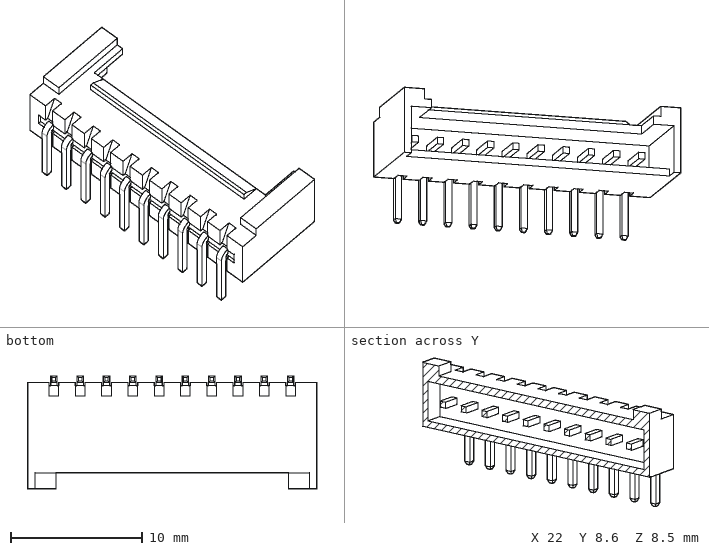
import cadquery as cq
import math

width = 22.0
depth = 8.1
height = 4.31

side_wall = 0.55
floor_thickness = 0.55
roof_thickness = 0.65
back_wall = 1.55
roof_notch_width = 17.67
roof_notch_depth = 3.2
floor_setback = 1.2
roof_edge = depth - roof_notch_depth

rail_width = 1.6
rail_height = 0.8
rail_start = 1.52

ramp_width = 15.85
ramp_height = 0.55
ramp_run = 1.12
ramp_flat = 0.29

pin_count = 10
pitch = 2.0
pin_size = 0.5
pin_axis_height = 2.1
pin_bottom = -3.39
pin_end = 4.4
tip_length = 0.26
tip_size = 0.26

recess_width = 20.2
recess_height = 1.0
recess_depth = 0.25
groove_width = 0.73
groove_depth = 1.01
recess_bottom = pin_axis_height - recess_height / 2
recess_top = pin_axis_height + recess_height / 2

pin_positions = [(i - (pin_count - 1) / 2) * pitch for i in range(pin_count)]


def box(size_x, y_range, z_range, x=0.0):
    """Box centred on x, spanning the given Y and Z ranges."""
    y_start, y_stop = y_range
    z_start, z_stop = z_range
    return (
        cq.Workplane("XY", origin=(x, (y_start + y_stop) / 2, z_start))
        .box(size_x, y_stop - y_start, z_stop - z_start, centered=(True, True, False))
    )


def side_profile(points, size_x, x=0.0):
    """Closed (Y, Z) outline extruded along X and centred on x."""
    return cq.Workplane("YZ", origin=(x, 0, 0)).polyline(points).close().extrude(size_x / 2, both=True)


def make_shell():
    """Housing block hollowed from +Y, with the roof and floor cut back."""
    cavity_width = width - 2 * side_wall
    roof_bottom = height - roof_thickness
    shell = box(width, (0, depth), (0, height))
    shell = shell.cut(box(cavity_width, (back_wall, depth), (floor_thickness, roof_bottom)))
    shell = shell.cut(box(roof_notch_width, (roof_edge, depth), (roof_bottom, height)))
    return shell.cut(box(cavity_width, (depth - floor_setback, depth), (0, floor_thickness)))


def make_rail(side):
    """Raised rail on the -X (side = -1) or +X (side = 1) edge."""
    x = side * (width - rail_width) / 2
    return box(rail_width, (rail_start, depth), (height, height + rail_height), x)


def make_ramp():
    """Locking ramp rising from the roof edge to a short flat crest."""
    crest = height + ramp_height
    crest_start = roof_edge - ramp_run
    crest_end = crest_start - ramp_flat
    outline = [(roof_edge, height), (crest_start, crest), (crest_end, crest), (crest_end, height)]
    return side_profile(outline, ramp_width)


def make_groove(x):
    """Vertical groove that deepens from the recess towards the top and bottom."""
    outline = [
        (0, 0),
        (groove_depth, 0),
        (recess_depth, recess_bottom),
        (recess_depth, recess_top),
        (groove_depth, height),
        (0, height),
    ]
    return side_profile(outline, groove_width, x)


def make_pin(x):
    """Square pin bent down at the pin face and ending in a tapered tip."""
    top = pin_axis_height + pin_size / 2
    bottom = pin_axis_height - pin_size / 2
    shoulder = pin_bottom + tip_length
    outer_radius = recess_depth + pin_size
    inner_radius = recess_depth
    bend_z = top - outer_radius
    cos_45 = math.cos(math.radians(45))
    outer_middle = (recess_depth - outer_radius * cos_45, bend_z + outer_radius * cos_45)
    inner_middle = (recess_depth - inner_radius * cos_45, bend_z + inner_radius * cos_45)
    pin = (
        cq.Workplane("YZ", origin=(x, 0, 0))
        .moveTo(pin_end, top)
        .lineTo(recess_depth, top)
        .threePointArc(outer_middle, (-pin_size, bend_z))
        .lineTo(-pin_size, shoulder)
        .lineTo(0, shoulder)
        .lineTo(0, bend_z)
        .threePointArc(inner_middle, (recess_depth, bottom))
        .lineTo(pin_end, bottom)
        .close()
        .extrude(pin_size / 2, both=True)
    )
    tip = (
        cq.Workplane("XY", origin=(x, -pin_size / 2, shoulder))
        .rect(pin_size, pin_size)
        .workplane(offset=-tip_length)
        .rect(tip_size, tip_size)
        .loft()
    )
    return pin.union(tip)


result = make_shell().union(make_ramp())
for side in (-1, 1):
    result = result.union(make_rail(side))
result = result.cut(box(recess_width, (0, recess_depth), (recess_bottom, recess_top)))
for x in pin_positions:
    result = result.cut(make_groove(x)).union(make_pin(x))